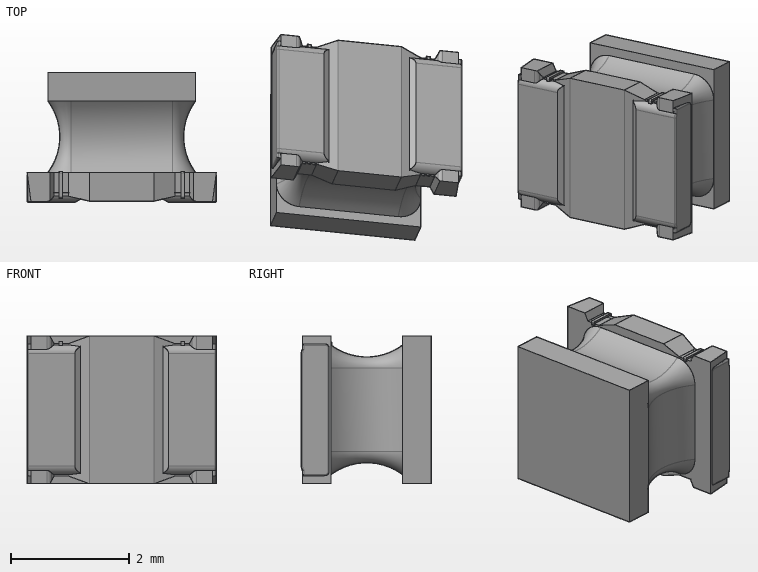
import cadquery as cq
import math

length = 3.2
depth = 2.2
flange_height = 2.5
flange_thickness = 0.49
terminal_protrusion = 0.02

half_length = length / 2
half_height = flange_height / 2

pad_front = -depth / 2
flange_front = pad_front + terminal_protrusion
flange_rear = flange_front + flange_thickness
winding_rear = depth / 2 - flange_thickness
winding_depth = winding_rear - flange_rear

centre_half_width = 0.547
slope_end = 0.9
ear_inner = 1.145
ear_front_inner = 1.215
ear_edge_radius = 0.1
ear_taper = 0.065
pocket_depth = 0.085
pocket_floor = flange_front + pocket_depth

notch_floor = 1.12

pad_thickness = 0.165
pad_edge_radius = 0.155
pad_half_height = 1.105
pad_inner_front = 0.795
pad_inner = 0.698
pad_slope_depth = 0.055
end_plate_setback = 0.025
end_plate_overlap = 0.032
end_plate_rear = flange_rear - end_plate_setback
end_plate_half_height = 1.117
end_plate_inner = half_length - ear_taper - end_plate_overlap
end_plate_corner_radius = 0.075
end_edge_radius = 0.025

winding_corner_x = 0.858
winding_corner_z = 0.705
winding_end_radius = 0.39
waist_depth = 0.2

wire_x = 1.03
wire_width = 0.06
wire_top = 1.152
wire_height = 0.067
wire_edge_radius = 0.025
wire_rear_overhang = 0.013
wire_front_overhang = 0.035
wire_rear = flange_rear + wire_rear_overhang
wire_front = pocket_floor - wire_front_overhang


def mirrored_pair(right_body):
    """Return a body and its mirror image across X = 0."""
    return [right_body, right_body.mirror("YZ")]


def box_between(x_range, y_range, z_range):
    """Box between the given limits."""
    size = [high - low for low, high in (x_range, y_range, z_range)]
    corner = cq.Vector(x_range[0], y_range[0], z_range[0])
    return cq.Workplane(cq.Solid.makeBox(*size, corner))


def extruded_plan(points, half_extent):
    """XY outline extruded equally above and below Z = 0."""
    return cq.Workplane("XY").polyline(points).close().extrude(half_extent, both=True)


def make_rear_flange():
    return box_between(
        (-half_height, half_height),
        (winding_rear, winding_rear + flange_thickness),
        (-half_height, half_height),
    )


def make_flange_blank():
    """Front flange before the terminals and the wires are let into it."""
    right_half = [
        (half_length, flange_rear),
        (half_length - ear_taper, flange_front),
        (ear_front_inner, flange_front),
        (ear_inner, pocket_floor),
        (slope_end, pocket_floor),
        (centre_half_width, flange_front),
    ]
    left_half = [(-x, y) for x, y in reversed(right_half)]
    flange = extruded_plan(right_half + left_half, half_height)

    for side in (-1, 1):
        ear_edge = cq.selectors.NearestToPointSelector((side * ear_front_inner, flange_front, 0))
        flange = flange.edges("|Z").edges(ear_edge).fillet(ear_edge_radius)

    notch = (
        cq.Workplane("XZ", origin=(0, flange_rear, 0))
        .polyline([
            (centre_half_width, half_height),
            (slope_end, notch_floor),
            (ear_inner, notch_floor),
            (ear_front_inner, half_height),
        ])
        .close()
        .extrude(flange_thickness)
    )
    for cutter in mirrored_pair(notch):
        flange = flange.cut(cutter).cut(cutter.mirror("XY"))
    return flange


def make_pad():
    """Right-hand solder pad on the front face, rounded along its top and bottom edges."""
    pad_base = pad_front + pad_thickness
    plan = extruded_plan(
        [
            (half_length, pad_base),
            (half_length, pad_front),
            (pad_inner_front, pad_front),
            (pad_inner, pad_front + pad_slope_depth),
            (pad_inner, pad_base),
        ],
        pad_half_height,
    )
    rounded_bar = (
        box_between((0, half_length), (pad_front, pad_base), (-pad_half_height, pad_half_height))
        .edges("|X and <Y")
        .fillet(pad_edge_radius)
    )
    pad = plan.intersect(rounded_bar)
    return pad.faces(">X").edges("not >Y").fillet(end_edge_radius)


def make_end_plate():
    """Right-hand end plate, a wedge that fills the space outside the tapered flange end."""
    plate = box_between(
        (end_plate_inner, half_length),
        (flange_front, end_plate_rear),
        (-end_plate_half_height, end_plate_half_height),
    )
    plate = plate.edges("|X and >Y").fillet(end_plate_corner_radius)
    return plate.faces(">X").edges().fillet(end_edge_radius)


def make_terminal(flange):
    """Right-hand terminal: front pad and end plate in one piece, fitted to the recessed flange."""
    return make_end_plate().union(make_pad()).cut(flange)


def make_wire():
    """Right-hand wire end, lying across the top notch."""
    wire = box_between(
        (wire_x - wire_width / 2, wire_x + wire_width / 2),
        (wire_front, wire_rear),
        (wire_top - wire_height, wire_top),
    )
    return wire.edges("|X and >Z").fillet(wire_edge_radius)


def make_winding():
    """Rounded block with a groove of circular section swept around it."""
    block = (
        cq.Workplane("XZ", origin=(0, winding_rear, 0))
        .rect(2 * (winding_corner_x + winding_end_radius), 2 * (winding_corner_z + winding_end_radius))
        .extrude(winding_depth)
        .edges("|Y")
        .fillet(winding_end_radius)
    )

    waist_radius = winding_end_radius - waist_depth
    waist_top = winding_corner_z + waist_radius
    waist_side = winding_corner_x + waist_radius
    diagonal = waist_radius * math.sqrt(0.5)
    middle = (flange_rear + winding_rear) / 2
    path = (
        cq.Workplane("XZ", origin=(0, middle, 0))
        .moveTo(0, waist_top)
        .lineTo(winding_corner_x, waist_top)
        .threePointArc(
            (winding_corner_x + diagonal, winding_corner_z + diagonal),
            (waist_side, winding_corner_z),
        )
        .lineTo(waist_side, -winding_corner_z)
        .threePointArc(
            (winding_corner_x + diagonal, -winding_corner_z - diagonal),
            (winding_corner_x, -waist_top),
        )
        .lineTo(-winding_corner_x, -waist_top)
        .threePointArc(
            (-winding_corner_x - diagonal, -winding_corner_z - diagonal),
            (-waist_side, -winding_corner_z),
        )
        .lineTo(-waist_side, winding_corner_z)
        .threePointArc(
            (-winding_corner_x - diagonal, winding_corner_z + diagonal),
            (-winding_corner_x, waist_top),
        )
        .close()
    )

    groove_radius = ((winding_depth / 2) ** 2 + waist_depth ** 2) / (2 * waist_depth)
    groove = (
        cq.Workplane("YZ")
        .center(middle, waist_top + groove_radius)
        .circle(groove_radius)
        .sweep(path)
    )
    return block.cut(groove)


rear_flange = make_rear_flange()
front_flange = make_flange_blank()
for pad in mirrored_pair(make_pad()):
    front_flange = front_flange.cut(pad)
terminals = mirrored_pair(make_terminal(front_flange))
winding = make_winding()
wires = mirrored_pair(make_wire())

for wire in wires:
    front_flange = front_flange.cut(wire)
    winding = winding.cut(wire)
    terminals = [terminal.cut(wire) for terminal in terminals]

result = cq.Compound.makeCompound([
    rear_flange.val(),
    front_flange.val(),
    winding.val(),
    *[terminal.val() for terminal in terminals],
    *[wire.val() for wire in wires],
])